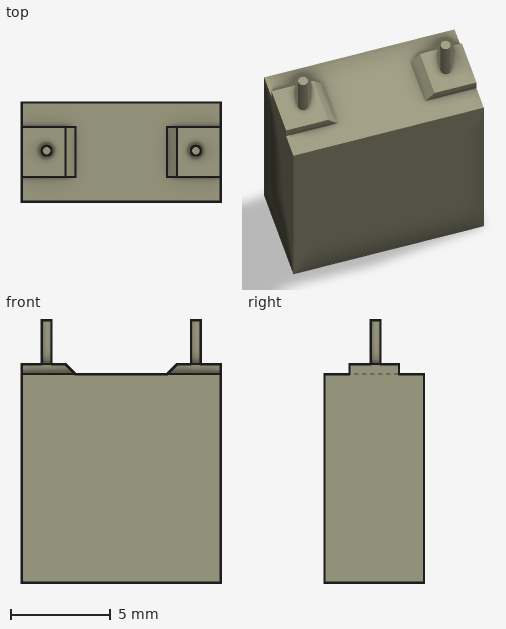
import cadquery as cq

total_height = 13.2
body_width = 10.0
body_depth = 5.0
body_height = 10.5

pad_height = 0.5
pad_top_length = 2.2
pad_base_length = pad_top_length + pad_height
pad_depth = body_depth / 2

pin_diameter = 0.5
pin_pitch = 7.5
pin_offset_y = 0.07

pad_top = body_height + pad_height


def make_body():
    return cq.Workplane("XY").box(body_width, body_depth, body_height, centered=(True, True, False))


def make_pad(side):
    """Pad flush with the end face on the given side (-1 or +1), sloped inward."""
    end_x = body_width / 2
    profile = [
        (side * end_x, body_height),
        (side * end_x, pad_top),
        (side * (end_x - pad_top_length), pad_top),
        (side * (end_x - pad_base_length), body_height),
    ]
    return cq.Workplane("XZ").polyline(profile).close().extrude(pad_depth / 2, both=True)


def make_pin(side):
    """Round lead rising from the pad on the given side."""
    return (
        cq.Workplane("XY", origin=(side * pin_pitch / 2, pin_offset_y, pad_top))
        .circle(pin_diameter / 2)
        .extrude(total_height - pad_top)
    )


result = make_body()
for side in (-1, 1):
    result = result.union(make_pad(side)).union(make_pin(side))